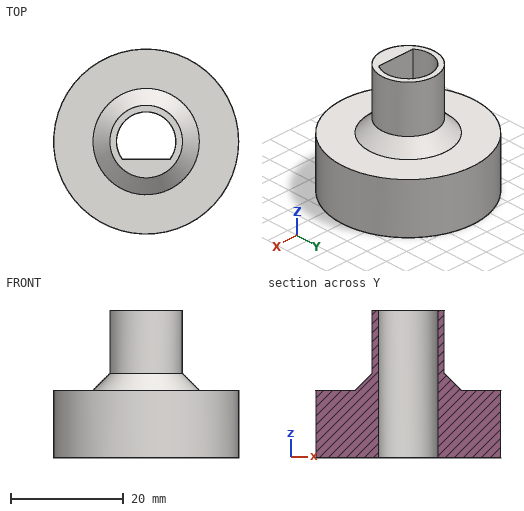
import cadquery as cq

base_diameter = 32.9
base_height = 12.0

neck_diameter = 12.9
total_height = 26.2
cone_height = 3.0

bore_diameter = 10.5
flat_offset = 3.1

base_radius = base_diameter / 2
neck_radius = neck_diameter / 2
cone_radius = neck_radius + cone_height


def make_body():
    """Revolve the base, cone and neck about the Z axis."""
    return (
        cq.Workplane("XZ")
        .lineTo(base_radius, 0)
        .lineTo(base_radius, base_height)
        .lineTo(cone_radius, base_height)
        .lineTo(neck_radius, base_height + cone_height)
        .lineTo(neck_radius, total_height)
        .lineTo(0, total_height)
        .close()
        .revolve(360, (0, 0, 0), (0, 1, 0))
    )


def make_bore():
    """Full-height round bore, cut off flat at Y = -flat_offset."""
    cylinder = cq.Workplane("XY").circle(bore_diameter / 2).extrude(total_height)
    kept_side = (
        cq.Workplane("XY", origin=(0, -flat_offset, 0))
        .rect(bore_diameter, bore_diameter, centered=(True, False))
        .extrude(total_height)
    )
    return cylinder.intersect(kept_side)


result = make_body().cut(make_bore())